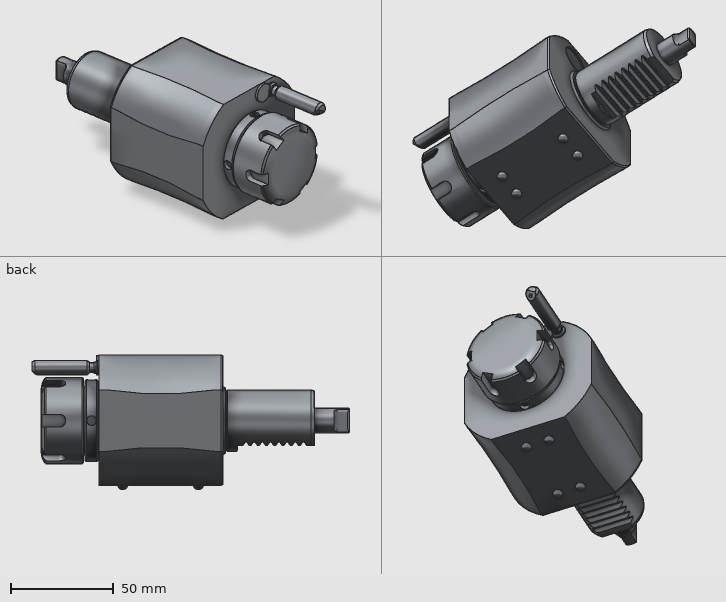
import cadquery as cq
import math


overall_length = 154.8
overlap = 1.5

tang_tip_x = -61.8
tang_root_x = -54.2
tang_radius = 6.0
tang_half_thickness = 3.0
tang_root_fillet = 1.4
tang_flat_half_height = 4.2
tang_bevel = 0.5
tang_tip_chamfer = 0.5
tang_tip_bevel_length = 1.0
tang_tip_bevel_depth = 0.3

shank_tip_x = -44.6
shank_radius = 15.0
shank_lead_length = 1.5
shank_lead_depth = 0.54
flat_depth_z = 12.2
flat_end_x = -7.1
heel_chamfer = 0.6
gap_count = 8
first_gap_x = -39.3
last_gap_x = -11.3
tooth_pitch = (last_gap_x - first_gap_x) / (gap_count - 1)
tooth_gap_depth = 1.9
tooth_gap_floor = 0.7
tooth_gap_mouth = 3.4

relief_start_x = -2.2
relief_bottom_x = -1.9
collar_start_x = -1.2
relief_radius = 14.5
collar_small_radius = 15.8
collar_radius = 16.7

body_length = 60.4
body_width = 68.0
body_top_z = 32.0
body_bottom_z = -31.6
body_corner_radius = 37.2
body_waist_radius = 36.4
front_rim = 3.4
rear_rim = 3.5
body_bevel_length = 1.0
body_bevel_depth = 0.5

recess_y = 12.5
recess_z = 21.5
recess_radius = 7.3
recess_depth = 1.0
recess_chamfer = 0.23

nozzle_xs = (11.9, 48.8)
nozzle_offset_y = 6.0
nozzle_radius = 2.5
nozzle_height = 2.0

spindle_radius = 16.7
ring_start_x = 60.8
ring_end_x = 67.2
ring_radius = 20.0
ring_chamfer = 0.6
pin_hole_radius = 2.3
pin_hole_depth = 2.3
pin_hole_count = 4

nut_start_x = 68.0
nut_end_x = 88.5
nut_radius = 21.0
nut_rear_chamfer = 0.6
nut_bevel_start_x = 86.1
nut_bevel_end_x = 87.0
nut_bevel_end_radius = 20.3
nut_nose_x = 88.1
nut_nose_radius = 18.0
nut_face_radius = 15.3
slot_count = 6
slot_width = 6.2
slot_start_x = 76.6
long_slot_index = 1
long_slot_start_x = 74.8
slot_floor_radius = 17.5

pipe_y = 16.5
pipe_z = 25.9
pipe_radius = 3.5
pipe_start_x = 66.3
pipe_end_x = tang_tip_x + overall_length
pipe_tip_length = 1.4
pipe_tip_radius = 2.6
neck_start_x = 62.7
neck_end_x = 64.9
neck_radius = 2.5
seat_radius = 3.5
seat_small_radius = 2.8
seat_cone_start_x = 61.0
seat_cone_end_x = 62.0
jet_bevel_start_x = 89.6
jet_hole_radius = 1.0
jet_hole_depth = 1.5

screw_y = 9.8
screw_z = 27.0
screw_radius = 4.8
screw_head_height = 1.2


def turned(points):
    """Solid of revolution about the X axis from (x, radius) points."""
    outline = [(points[0][0], 0)] + points + [(points[-1][0], 0)]
    return cq.Workplane("XY").polyline(outline).close().revolve(360, (0, 0, 0), (1, 0, 0))


def rod_x(start_x, end_x, radius, y=0, z=0):
    """Cylinder along X."""
    return cq.Workplane("YZ", origin=(start_x, y, z)).circle(radius).extrude(end_x - start_x)


def make_tang():
    stub = rod_x(tang_tip_x, shank_tip_x + overlap, tang_radius).faces("<X").chamfer(tang_tip_chamfer)
    fillet_start_x = tang_root_x - tang_root_fillet
    fillet_top_y = tang_half_thickness + tang_root_fillet
    side = (
        cq.Workplane("XY", origin=(0, 0, -tang_radius))
        .moveTo(tang_tip_x, tang_half_thickness - tang_tip_bevel_depth)
        .lineTo(tang_tip_x + tang_tip_bevel_length, tang_half_thickness)
        .lineTo(fillet_start_x, tang_half_thickness)
        .radiusArc((tang_root_x, fillet_top_y), -tang_root_fillet)
        .lineTo(tang_root_x, tang_radius)
        .lineTo(tang_tip_x, tang_radius)
        .close()
        .extrude(2 * tang_radius)
    )
    tang = stub.cut(side).cut(side.mirror("XZ"))
    corner = (
        cq.Workplane("YZ", origin=(tang_tip_x, 0, 0))
        .polyline([
            (tang_half_thickness, tang_flat_half_height),
            (tang_half_thickness, tang_radius),
            (tang_half_thickness - tang_bevel, tang_radius),
        ])
        .close()
        .extrude(fillet_start_x - tang_tip_x)
    )
    upper = corner.union(corner.mirror("XZ"))
    return tang.cut(upper).cut(upper.mirror("XY"))


def make_shank():
    shank = turned([
        (shank_tip_x, shank_radius - shank_lead_depth),
        (shank_tip_x + shank_lead_length, shank_radius),
        (relief_start_x, shank_radius),
        (relief_bottom_x, relief_radius),
        (collar_start_x, relief_radius),
        (collar_start_x, collar_small_radius),
        (0, collar_radius),
        (overlap, collar_radius),
    ])
    flat = (
        cq.Workplane("XZ", origin=(0, shank_radius, 0))
        .moveTo(shank_tip_x, -flat_depth_z)
        .lineTo(flat_end_x, -flat_depth_z)
        .lineTo(flat_end_x, -shank_radius + heel_chamfer)
        .lineTo(flat_end_x + heel_chamfer, -shank_radius)
        .lineTo(shank_tip_x, -shank_radius)
        .close()
        .extrude(2 * shank_radius)
    )
    shank = shank.cut(flat)
    gap = (
        cq.Workplane("XZ", origin=(0, shank_radius, -flat_depth_z))
        .polyline([
            (-tooth_gap_mouth / 2, 0),
            (-tooth_gap_floor / 2, tooth_gap_depth),
            (tooth_gap_floor / 2, tooth_gap_depth),
            (tooth_gap_mouth / 2, 0),
        ])
        .close()
        .extrude(2 * shank_radius)
    )
    for i in range(gap_count):
        shank = shank.cut(gap.translate((first_gap_x + i * tooth_pitch, 0, 0)))
    return shank


def make_body():
    waist_start_x = front_rim
    waist_end_x = body_length - rear_rim
    barrel = (
        cq.Workplane("XY")
        .moveTo(0, 0)
        .lineTo(0, body_corner_radius - body_bevel_depth)
        .lineTo(body_bevel_length, body_corner_radius)
        .lineTo(waist_start_x, body_corner_radius)
        .threePointArc(
            ((waist_start_x + waist_end_x) / 2, body_waist_radius),
            (waist_end_x, body_corner_radius),
        )
        .lineTo(body_length, body_corner_radius)
        .lineTo(body_length, 0)
        .close()
        .revolve(360, (0, 0, 0), (1, 0, 0))
    )
    body_height = body_top_z - body_bottom_z
    middle_z = (body_top_z + body_bottom_z) / 2
    bevel_angle = math.degrees(math.atan2(body_bevel_depth, body_bevel_length))
    block = (
        cq.Workplane("YZ", origin=(body_bevel_length, 0, middle_z))
        .rect(body_width, body_height)
        .extrude(body_length - body_bevel_length)
    )
    bevelled_end = (
        cq.Workplane("YZ", origin=(body_bevel_length, 0, middle_z))
        .rect(body_width, body_height)
        .extrude(-body_bevel_length, taper=bevel_angle)
    )
    recess = turned([
        (0, recess_radius + recess_chamfer),
        (recess_chamfer, recess_radius),
        (recess_depth, recess_radius),
    ]).translate((0, recess_y, recess_z))
    return barrel.intersect(block.union(bevelled_end)).cut(recess)


def make_nozzles():
    ball_radius = (nozzle_radius**2 + nozzle_height**2) / (2 * nozzle_height)
    ball_z = body_bottom_z - nozzle_height + ball_radius
    places = [(x, side * nozzle_offset_y) for x in nozzle_xs for side in (-1, 1)]
    return cq.Workplane("XY", origin=(0, 0, ball_z)).pushPoints(places).sphere(ball_radius)


def make_ring():
    spindle = rod_x(body_length - overlap, nut_start_x + overlap, spindle_radius)
    ring = rod_x(ring_start_x, ring_end_x, ring_radius).edges().chamfer(ring_chamfer)
    hole_x = (ring_start_x + ring_end_x) / 2
    hole = (
        cq.Workplane("XY", origin=(hole_x, 0, ring_radius - pin_hole_depth))
        .circle(pin_hole_radius)
        .extrude(2 * pin_hole_depth)
    )
    for i in range(pin_hole_count):
        ring = ring.cut(hole.rotate((0, 0, 0), (1, 0, 0), i * 360 / pin_hole_count))
    return ring.union(spindle)


def make_slot(start_x):
    """Cutter for a round-ended, flat-floored spanner slot facing -Y."""
    half_width = slot_width / 2
    return (
        cq.Workplane("XZ", origin=(0, -slot_floor_radius, 0))
        .moveTo(nut_end_x, half_width)
        .lineTo(start_x + half_width, half_width)
        .threePointArc((start_x, 0), (start_x + half_width, -half_width))
        .lineTo(nut_end_x, -half_width)
        .close()
        .extrude(nut_radius)
    )


def make_nut():
    nut = (
        cq.Workplane("XY")
        .moveTo(nut_start_x, 0)
        .lineTo(nut_start_x, nut_radius - nut_rear_chamfer)
        .lineTo(nut_start_x + nut_rear_chamfer, nut_radius)
        .lineTo(nut_bevel_start_x, nut_radius)
        .lineTo(nut_bevel_end_x, nut_bevel_end_radius)
        .threePointArc((nut_nose_x, nut_nose_radius), (nut_end_x, nut_face_radius))
        .lineTo(nut_end_x, 0)
        .close()
        .revolve(360, (0, 0, 0), (1, 0, 0))
    )
    for i in range(slot_count):
        start_x = long_slot_start_x if i == long_slot_index else slot_start_x
        nut = nut.cut(make_slot(start_x).rotate((0, 0, 0), (1, 0, 0), i * 360 / slot_count))
    return nut


def make_coolant_pipe():
    pipe = turned([
        (body_length - overlap, seat_radius),
        (seat_cone_start_x, seat_radius),
        (seat_cone_end_x, seat_small_radius),
        (neck_start_x, seat_small_radius),
        (neck_start_x, neck_radius),
        (neck_end_x, neck_radius),
        (pipe_start_x, pipe_radius),
        (pipe_end_x - pipe_tip_length, pipe_radius),
        (pipe_end_x, pipe_tip_radius),
    ])
    bevel_run = pipe_end_x - jet_bevel_start_x
    bevel = (
        cq.Workplane("XZ", origin=(0, pipe_radius, 0))
        .polyline([
            (jet_bevel_start_x, -pipe_radius),
            (pipe_end_x, -pipe_radius + bevel_run),
            (pipe_end_x, -pipe_radius),
        ])
        .close()
        .extrude(2 * pipe_radius)
    )
    bevel_middle = (jet_bevel_start_x + bevel_run / 2, 0, -pipe_radius + bevel_run / 2)
    jet_plane = cq.Plane(origin=bevel_middle, xDir=(0, 1, 0), normal=(-1, 0, 1))
    jet = cq.Workplane(jet_plane).circle(jet_hole_radius).extrude(jet_hole_depth)
    aim_angle = -math.degrees(math.atan2(pipe_y, pipe_z))
    aimed = pipe.cut(bevel).cut(jet).rotate((0, 0, 0), (1, 0, 0), aim_angle)
    return aimed.translate((0, pipe_y, pipe_z))


def make_screw():
    return rod_x(body_length - overlap, body_length + screw_head_height, screw_radius, screw_y, screw_z)


result = make_body()
for piece in (
    make_tang(),
    make_shank(),
    make_nozzles(),
    make_ring(),
    make_nut(),
    make_coolant_pipe(),
    make_screw(),
):
    result = result.union(piece)